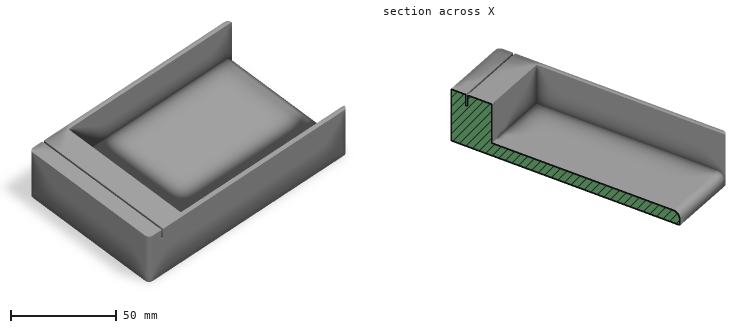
import cadquery as cq

width = 83.0
length = 130.0
height = 30.0
corner_radius = 2.5

side_wall = 2.5
front_block = 23.3
floor_thickness = 7.5
lip_radius = 4.0

slot_width = 1.0
slot_depth = 6.2
slot_front_wall = 8.5

front_y = -length / 2
back_y = length / 2


def make_body():
    """Full block with rounded vertical corners."""
    block = cq.Workplane("XY").box(width, length, height, centered=(True, True, False))
    return block.edges("|Z").fillet(corner_radius)


def make_pocket():
    """Tray space above the floor, with the floor rounded down at the back edge."""
    pocket_width = width - 2 * side_wall
    pocket_front_y = front_y + front_block
    profile = (
        cq.Workplane("YZ", origin=(-pocket_width / 2, 0, 0))
        .moveTo(pocket_front_y, height)
        .lineTo(pocket_front_y, floor_thickness)
        .lineTo(back_y - lip_radius, floor_thickness)
        .radiusArc((back_y, floor_thickness - lip_radius), lip_radius)
        .lineTo(back_y, height)
        .close()
    )
    return profile.extrude(pocket_width)


def make_slot():
    """Cut across the full width, parallel to the front face."""
    slot_centre_y = front_y + slot_front_wall + slot_width / 2
    slot = cq.Workplane("XY").box(width, slot_width, slot_depth, centered=(True, True, False))
    return slot.translate((0, slot_centre_y, height - slot_depth))


result = make_body().cut(make_pocket()).cut(make_slot())